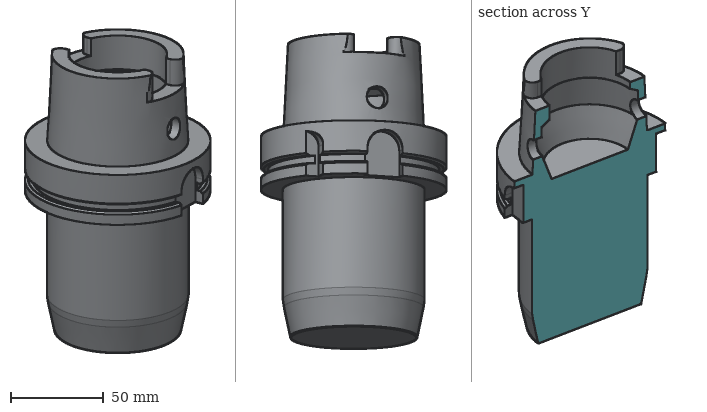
import cadquery as cq
import math

total_height = 159.9
flange_top = 109.9
flange_bottom = 80.9

flange_radius = 100.0 / 2
body_radius = 38.2
shank_base_radius = 76.0 / 2
shank_top_radius = 35.5
nose_radius = 34.2

nose_edge_chamfer = 0.5
nose_cone_top = 16.6
nose_shoulder_top = 20.8
nose_shoulder_radius = 37.5

groove_radius = 46.0
groove_bottom = 88.0
groove_top = 92.1
groove_lip_width = 1.6
groove_lip_height = 1.1

mouth_radius = 53.1 / 2
mouth_bottom = 140.4
chamber_radius = 63.2 / 2
chamber_cone_height = 2.9
chamber_bottom = 120.2
floor_radius = 25.1
floor_height = 102.3

key_width = 20.0
key_depth_left = 10.0
key_depth_right = 15.0
key_corner_radius = 5.0
key_face_distance = 32.1
key_corner_wrap = 30

access_hole_diameter = 12.0
access_hole_height = 125.2

flange_slot_width = 20.0
flange_slot_top = 105.2
flange_slot_floor = 44.0

notch_inner_y = 31.7
notch_floor = 31.3
notch_radius = 8.0


def revolve_profile(points):
    """Revolve a closed (radius, Z) outline about Z."""
    return cq.Workplane("XZ").polyline(points).close().revolve(360, (0, 0, 0), (0, 1, 0))


def make_body():
    lip_radius = flange_radius - groove_lip_width
    return revolve_profile([
        (0, 0),
        (nose_radius - nose_edge_chamfer, 0),
        (nose_radius, nose_edge_chamfer),
        (nose_shoulder_radius, nose_cone_top),
        (body_radius, nose_shoulder_top),
        (body_radius, flange_bottom),
        (flange_radius, flange_bottom),
        (flange_radius, groove_bottom - groove_lip_height),
        (lip_radius, groove_bottom),
        (groove_radius, groove_bottom),
        (groove_radius, groove_top),
        (lip_radius, groove_top),
        (flange_radius, groove_top + groove_lip_height),
        (flange_radius, flange_top),
        (shank_base_radius, flange_top),
        (shank_top_radius, total_height),
        (0, total_height),
    ])


def make_bore():
    return revolve_profile([
        (0, total_height),
        (mouth_radius, total_height),
        (mouth_radius, mouth_bottom),
        (chamber_radius, mouth_bottom - chamber_cone_height),
        (chamber_radius, chamber_bottom),
        (floor_radius, floor_height),
        (0, floor_height),
    ])


def make_key_slot(side, depth):
    """Driver slot on the +X or -X side that leaves rounded ends on the rim.

    Each end arc continues past its outermost point by key_corner_wrap degrees
    before the wall runs straight out.
    """
    half_width = key_width / 2
    corner_x = key_face_distance - key_corner_radius
    corner_y = half_width + key_corner_radius
    wrap = math.radians(key_corner_wrap)

    def corner_point(angle, distance):
        x = corner_x + distance * math.cos(angle)
        y = corner_y + distance * math.sin(angle)
        return side * x, y

    def mirrored(point):
        return point[0], -point[1]

    arc_middle = corner_point(0, key_corner_radius)
    arc_end = corner_point(wrap, key_corner_radius)
    outer_end = corner_point(wrap, flange_radius - corner_x)
    return (
        cq.Workplane("XY", origin=(0, 0, total_height - depth))
        .moveTo(0, -half_width)
        .lineTo(side * corner_x, -half_width)
        .threePointArc(mirrored(arc_middle), mirrored(arc_end))
        .lineTo(*mirrored(outer_end))
        .lineTo(*outer_end)
        .lineTo(*arc_end)
        .threePointArc(arc_middle, (side * corner_x, half_width))
        .lineTo(0, half_width)
        .close()
        .extrude(depth)
    )


def make_round_topped_slot(side, floor_distance, center_y, radius):
    """Flange slot milled along X, from its flat floor outward through the rim."""
    arc_center = flange_slot_top - radius
    return (
        cq.Workplane("YZ", origin=(side * floor_distance, 0, 0))
        .moveTo(center_y - radius, flange_bottom)
        .lineTo(center_y - radius, arc_center)
        .threePointArc((center_y, flange_slot_top), (center_y + radius, arc_center))
        .lineTo(center_y + radius, flange_bottom)
        .close()
        .extrude(side * flange_radius)
    )


def make_access_holes():
    return (
        cq.Workplane("YZ", origin=(0, 0, access_hole_height))
        .circle(access_hole_diameter / 2)
        .extrude(flange_radius, both=True)
    )


result = make_body().cut(make_bore()).cut(make_access_holes())

for side, depth in ((-1, key_depth_left), (1, key_depth_right)):
    result = result.cut(make_key_slot(side, depth))
    result = result.cut(make_round_topped_slot(side, flange_slot_floor, 0, flange_slot_width / 2))

notch = make_round_topped_slot(-1, notch_floor, notch_inner_y + notch_radius, notch_radius)
result = result.cut(notch)